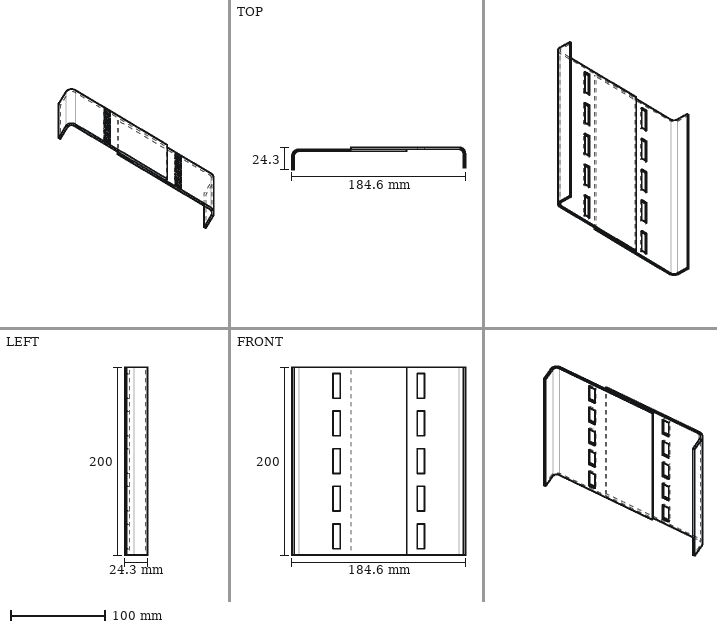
import cadquery as cq

overall_width = 184.6
height = 200.0

sheet_thickness = 2.3
plate_width = 122.0
flange_depth = 22.0
inner_bend_radius = 5.0
outer_bend_radius = inner_bend_radius + sheet_thickness

slot_count = 5
slot_width = 7.5
slot_length = 26.0
slot_pitch = height / slot_count
slot_offset = 47.5


def bent_sheet():
    """L-shaped sheet: flange outer face at X = 0, plate back face at Y = 0, base at Z = 0."""
    profile = (
        cq.Workplane("XY")
        .moveTo(0, -flange_depth)
        .lineTo(0, -outer_bend_radius)
        .radiusArc((outer_bend_radius, 0), outer_bend_radius)
        .lineTo(plate_width, 0)
        .lineTo(plate_width, -sheet_thickness)
        .lineTo(outer_bend_radius, -sheet_thickness)
        .radiusArc((sheet_thickness, -outer_bend_radius), -inner_bend_radius)
        .lineTo(sheet_thickness, -flange_depth)
        .close()
    )
    return profile.extrude(height)


def slot_cutters():
    """Column of rectangular slots, one centred in each pitch of the sheet height."""
    positions = [(slot_offset, (i + 0.5) * slot_pitch) for i in range(slot_count)]
    return (
        cq.Workplane("XZ")
        .pushPoints(positions)
        .rect(slot_width, slot_length)
        .extrude(sheet_thickness)
    )


def slotted_sheet():
    return bent_sheet().cut(slot_cutters()).solids()


front_sheet = slotted_sheet().translate((-overall_width / 2, 0, 0))

rear_sheet = (
    slotted_sheet()
    .mirror("YZ")
    .translate((overall_width / 2, sheet_thickness, 0))
)

result = cq.Compound.makeCompound([front_sheet.val(), rear_sheet.val()])